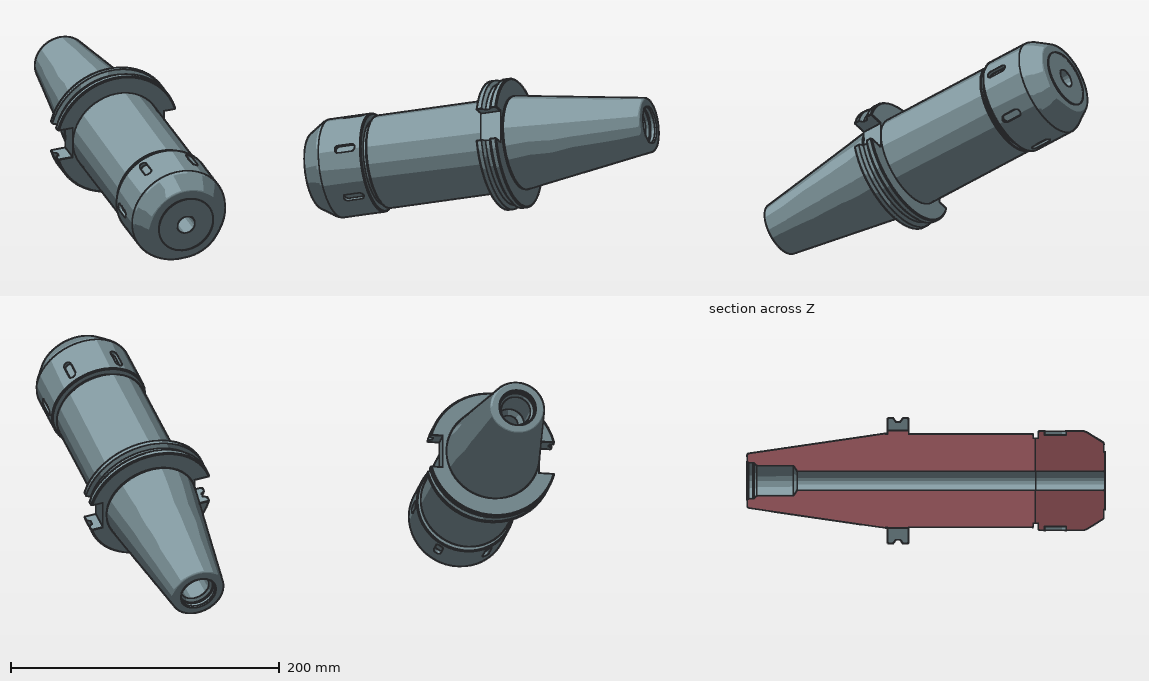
import cadquery as cq
import math

total_length = 266.5

taper_slope = 7 / 24 / 2
taper_length = 103.2
taper_large_diameter = 70.7
taper_run_out = 0.5
taper_end_rounding = 2.0

flange_start = 104.5
flange_end = 120.5
flange_diameter = 97.0
flange_chamfer = 0.8
groove_centre = 112.5
groove_diameter = 91.2
groove_floor_width = 3.2
groove_flank_run = 2.0
key_slot_width = 24.5
key_slot_chamfer = 0.4
touch_tolerance = 0.0001
front_key_floor = 35.2
rear_key_floor = 37.5

body_diameter = 69.9
body_end = 213.3
body_end_chamfer = 0.5
neck_diameter = 63.5

through_diameter = 13.9
thread_diameter = 22.0
thread_depth = 34.7
drill_tip_length = 2.7
pilot_diameter = 26.7
pilot_depth = 4.3
relief_diameter = 26.0
relief_depth = 5.3
relief_cone_length = 2.0
rim_diameter = 28.0
rim_chamfer = 1.3

nut_start = 216.8
nut_diameter = 74.0
nut_back_chamfer = 0.8
nut_collar_start = 215.0
nut_cylinder_end = 250.5
nut_shoulder_length = 2.5
nut_shoulder_drop = 0.8
nut_face = 265.8
nut_face_diameter = 56.5
nut_face_rounding = 2.0
face_boss_diameter = 43.2
spanner_slot_count = 6
spanner_slot_start = 221.5
spanner_slot_length = 16.0
spanner_slot_width = 5.9
spanner_slot_depth = 3.0


def revolve_about_x(points):
    """Solid of revolution about X from (x, radius) points."""
    return cq.Workplane("XY").polyline(points).close().revolve(360, (0, 0), (1, 0))


def make_shank():
    """Taper, cylindrical body and neck up to the nut, without the flange."""
    small_radius = taper_large_diameter / 2 - taper_length * taper_slope
    body_radius = body_diameter / 2
    neck_radius = neck_diameter / 2
    shank = revolve_about_x([
        (0, 0),
        (0, small_radius),
        (taper_length, taper_large_diameter / 2),
        (taper_length + taper_run_out, body_radius),
        (body_end - body_end_chamfer, body_radius),
        (body_end, body_radius - body_end_chamfer),
        (body_end, neck_radius),
        (nut_collar_start, neck_radius),
        (nut_collar_start, 0),
    ])
    return shank.faces("<X").edges().fillet(taper_end_rounding)


def chamfer_key_slots(flange, half_mouth):
    """Chamfer the key slot walls where they meet the end faces and rims of the two flange lands."""
    def is_land_edge(edge):
        middle = edge.Center()
        on_wall = math.isclose(abs(middle.z), key_slot_width / 2, rel_tol=touch_tolerance)
        return on_wall and abs(middle.x - groove_centre) > half_mouth

    land_edges = [edge for edge in flange.edges().vals() if is_land_edge(edge)]
    return flange.newObject(land_edges).chamfer(key_slot_chamfer)


def make_flange():
    """Drive flange with its V groove and the two key slots."""
    rim_radius = flange_diameter / 2
    floor_radius = groove_diameter / 2
    half_floor = groove_floor_width / 2
    half_mouth = half_floor + groove_flank_run
    flange = revolve_about_x([
        (flange_start, 0),
        (flange_start, rim_radius - flange_chamfer),
        (flange_start + flange_chamfer, rim_radius),
        (groove_centre - half_mouth, rim_radius),
        (groove_centre - half_floor, floor_radius),
        (groove_centre + half_floor, floor_radius),
        (groove_centre + half_mouth, rim_radius),
        (flange_end - flange_chamfer, rim_radius),
        (flange_end, rim_radius - flange_chamfer),
        (flange_end, 0),
    ])
    width = flange_end - flange_start
    for side, floor in ((-1, front_key_floor), (1, rear_key_floor)):
        slot_centre = (flange_start + width / 2, side * (floor + rim_radius / 2), 0)
        key_slot = cq.Workplane("XY", origin=slot_centre).box(width, rim_radius, key_slot_width)
        flange = flange.cut(key_slot)
    return chamfer_key_slots(flange, half_mouth)


def make_bore():
    """Stepped bore: chamfered rim, pilot, relief, thread hole with a conical bottom, through hole."""
    pilot_radius = pilot_diameter / 2
    relief_radius = relief_diameter / 2
    thread_radius = thread_diameter / 2
    through_radius = through_diameter / 2
    return revolve_about_x([
        (0, 0),
        (0, rim_diameter / 2),
        (rim_chamfer, pilot_radius),
        (pilot_depth, pilot_radius),
        (pilot_depth, relief_radius),
        (relief_depth, relief_radius),
        (relief_depth + relief_cone_length, thread_radius),
        (thread_depth, thread_radius),
        (thread_depth + drill_tip_length, through_radius),
        (total_length, through_radius),
        (total_length, 0),
    ])


def make_spanner_slot(angle):
    """Flat-bottomed slot cutter with round ends, turned about X from the -Y side."""
    slot_middle = spanner_slot_start + spanner_slot_length / 2
    slot_floor = nut_diameter / 2 - spanner_slot_depth
    slot = (
        cq.Workplane("XZ", origin=(slot_middle, -slot_floor, 0))
        .slot2D(spanner_slot_length, spanner_slot_width)
        .extrude(2 * spanner_slot_depth)
    )
    return slot.rotate((0, 0, 0), (1, 0, 0), angle)


def make_nut():
    """Clamping nut: rear collar, slotted cylinder, conical nose and a low boss on its face."""
    nut_radius = nut_diameter / 2
    collar_radius = neck_diameter / 2
    nut = revolve_about_x([
        (nut_collar_start, 0),
        (nut_collar_start, collar_radius),
        (nut_start, collar_radius),
        (nut_start, nut_radius - nut_back_chamfer),
        (nut_start + nut_back_chamfer, nut_radius),
        (nut_cylinder_end, nut_radius),
        (nut_cylinder_end + nut_shoulder_length, nut_radius - nut_shoulder_drop),
        (nut_face, nut_face_diameter / 2),
        (nut_face, 0),
    ])
    nut = nut.faces(">X").edges().fillet(nut_face_rounding)
    boss_height = total_length - nut_face
    nut = nut.faces(">X").workplane().circle(face_boss_diameter / 2).extrude(boss_height)
    for index in range(spanner_slot_count):
        nut = nut.cut(make_spanner_slot(index * 360 / spanner_slot_count))
    return nut


bore = make_bore()
holder = make_shank().union(make_flange()).cut(bore)
nut = make_nut().cut(bore)

result = cq.Compound.makeCompound([holder.val(), nut.val()])